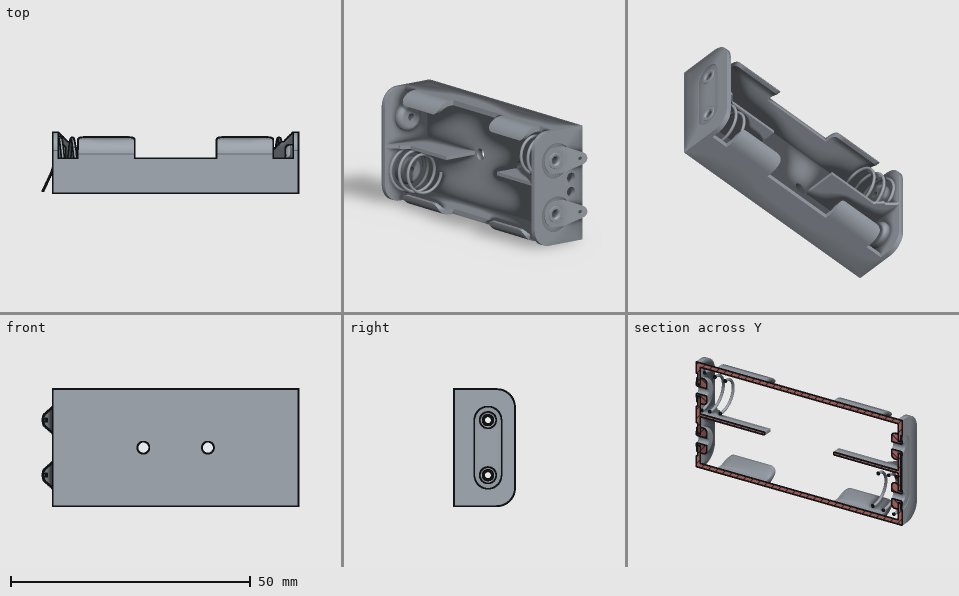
import cadquery as cq
import math


overall_length = 53.45
tray_height = 12.8
tray_width = 24.5
wall = 1.1
floor = 1.5
corner_radius = 3.85

cell_axis_y = 7.1
cell_axis_z = 5.745
cell_zs = (cell_axis_z, -cell_axis_z)

side_wall_height = 7.3
clip_base_height = 8.3
clip_radius = 3.6
clip_inner_radius = 2.9
clip_sweep = math.radians(75)
clip_setback = 5.25
clip_length = 11.9
clip_corner_radius = 1.45

divider_thickness = 0.75
divider_height = 9.2
divider_step_height = 10.8
divider_step_length = 0.5

mount_hole_diameter = 2.45
mount_hole_x = 6.75
lead_hole_diameter = 2.1
lead_hole_y = 3.1
lead_hole_z = 1.525

recess_depth = 0.4
recess_radius = 3.8

sheet = 0.2
plate_radius = 2.85
button_radius = 3.05
button_height = 1.65
button_fillet = 1.0
rivet_hole_radius = 0.8
rivet_flare_radius = 1.1
rivet_flange_radius = 1.7
rivet_flange_height = 0.15
rivet_flange_fillet = 0.1
rivet_shank_radius = 1.35

lug_angle = math.radians(25)
bend_start_y = 6.7
bend_end_y = 4.2
taper_start_y = 5.15
lug_tip_y = 0.455
lug_tip_radius = 1.4
lug_hole_y = 1.8
lug_hole_radius = 0.4

wire_radius = 0.3
coil_radius = 4.5
coil_shrink = 0.25
coil_pitch = 2.595
spring_clearance = 0.05
flat_turns = 0.5
rising_turns = 2.5

bend_radius = (bend_start_y - bend_end_y) / math.sin(lug_angle)
bend_offset = bend_radius * (1 - math.cos(lug_angle))
lug_plane_depth = recess_depth - sheet
lug_overhang = bend_offset + (bend_end_y - lug_tip_y) * math.tan(lug_angle) - lug_plane_depth
tray_length = overall_length - lug_overhang
end_x = tray_length / 2
inner_x = end_x - wall
half_width = tray_width / 2
clip_center_x = end_x - clip_setback - clip_length / 2


def box(x_range, y_range, z_range):
    """Box between pairs of X, Y and Z limits."""
    size = [high - low for low, high in (x_range, y_range, z_range)]
    corner = (x_range[0], y_range[0], z_range[0])
    return cq.Workplane("XY").box(*size, centered=False).translate(corner)


def x_cylinder(radius, x_start, length, y, z):
    """Cylinder along +X from x_start."""
    return cq.Workplane("YZ", origin=(x_start, 0, 0)).center(y, z).circle(radius).extrude(length)


def x_slot(radius, x_start, length):
    """Round-ended block along +X that spans both cell axes."""
    slot = cq.Workplane("YZ", origin=(x_start, 0, 0)).center(cell_axis_y, 0)
    return slot.slot2D(2 * (cell_axis_z + radius), 2 * radius, 90).extrude(length)



def end_wall(x_start):
    plate = box((x_start, x_start + wall), (0, tray_height), (-half_width, half_width))
    return plate.edges("|X and >Y").fillet(corner_radius)


def divider():
    """Thin wall between the cells at the +X end, stepping down from the end wall at 45 degrees."""
    upper_foot_x = inner_x - (tray_height - divider_step_height)
    lower_top_x = upper_foot_x - divider_step_length
    lower_foot_x = lower_top_x - (divider_step_height - divider_height)
    clip_end_x = clip_center_x - clip_length / 2
    profile = cq.Workplane("XY", origin=(0, 0, -divider_thickness / 2)).polyline([
        (inner_x, floor),
        (inner_x, tray_height),
        (upper_foot_x, divider_step_height),
        (lower_top_x, divider_step_height),
        (lower_foot_x, divider_height),
        (clip_end_x, divider_height),
        (clip_end_x, floor),
    ])
    return profile.close().extrude(divider_thickness)


def clip():
    """Snap clip at the +X end of the +Z side wall: an inward curl with rounded tip corners."""
    start_x = clip_center_x - clip_length / 2

    def curl_point(face_z, radius, angle):
        """Point on an arc that leaves the wall face at face_z and curls inwards."""
        y = clip_base_height + radius * math.sin(angle)
        return (y, face_z - radius * (1 - math.cos(angle)))

    def outer_point(angle):
        return curl_point(half_width, clip_radius, angle)

    def inner_point(angle):
        return curl_point(half_width - wall, clip_inner_radius, angle)

    curl = (
        cq.Workplane("YZ", origin=(start_x, 0, 0))
        .moveTo(side_wall_height, half_width)
        .lineTo(clip_base_height, half_width)
        .threePointArc(outer_point(clip_sweep / 2), outer_point(clip_sweep))
        .lineTo(*inner_point(clip_sweep))
        .threePointArc(inner_point(clip_sweep / 2), inner_point(0))
        .lineTo(side_wall_height, half_width - wall)
        .close()
        .extrude(clip_length)
    )
    tip_z = outer_point(clip_sweep)[1]
    rounded = box((start_x, start_x + clip_length), (0, tray_height), (tip_z, half_width))
    return curl.intersect(rounded.edges("|Y and <Z").fillet(clip_corner_radius))


def make_tray():
    tray = box((-end_x, end_x), (0, side_wall_height), (-half_width, half_width))
    inner_half_width = half_width - wall
    cavity = box((-inner_x, inner_x), (floor, tray_height), (-inner_half_width, inner_half_width))
    tray = tray.cut(cavity)
    tray = tray.union(end_wall(-end_x)).union(end_wall(inner_x))

    tray = tray.union(divider()).union(divider().mirror("YZ"))
    clip_pair = clip().union(clip().mirror("XY"))
    tray = tray.union(clip_pair).union(clip_pair.mirror("YZ"))

    for x in (-mount_hole_x, mount_hole_x):
        hole = cq.Workplane("XZ", origin=(x, 0, 0)).circle(mount_hole_diameter / 2)
        tray = tray.cut(hole.extrude(-floor))
    for z in (-lead_hole_z, lead_hole_z):
        tray = tray.cut(x_cylinder(lead_hole_diameter / 2, -end_x, wall, lead_hole_y, z))
    for z in cell_zs:
        tray = tray.cut(x_cylinder(recess_radius, -end_x, recess_depth, cell_axis_y, z))
        tray = tray.cut(x_cylinder(rivet_shank_radius, -end_x, tray_length, cell_axis_y, z))
    return tray.cut(x_slot(plate_radius, end_x - recess_depth, recess_depth))



def rivet(z):
    """Button head inside the -X end wall, shank through it and flange outside."""
    head = x_cylinder(button_radius, -inner_x, button_height, cell_axis_y, z)
    head = head.faces(">X").edges().fillet(button_fillet)
    flange_x = -end_x + lug_plane_depth - rivet_flange_height
    shank = x_cylinder(rivet_shank_radius, flange_x, -inner_x - flange_x, cell_axis_y, z)
    flange = x_cylinder(rivet_flange_radius, flange_x, rivet_flange_height, cell_axis_y, z)
    flange = flange.faces("<X").edges().fillet(rivet_flange_fillet)
    return head.union(shank).union(flange)


def rivet_bore(z):
    """Hole through a rivet at the -X end, flared at its outer mouth."""
    flange_x = -end_x + lug_plane_depth - rivet_flange_height
    flare_depth = rivet_flare_radius - rivet_hole_radius
    profile = cq.Workplane("XY", origin=(0, cell_axis_y, z)).polyline([
        (flange_x, 0),
        (flange_x, rivet_flare_radius),
        (flange_x + flare_depth, rivet_hole_radius),
        (-inner_x + button_height, rivet_hole_radius),
        (-inner_x + button_height, 0),
    ])
    return profile.close().revolve(360, (0, 0, 0), (1, 0, 0))


def lug_outline(z):
    """Lug as seen along X: a round ring end, straight flanks and a taper to a rounded tip."""
    tip_center_y = lug_tip_y + lug_tip_radius
    taper_rise = taper_start_y - tip_center_y
    taper_reach = math.hypot(taper_rise, plate_radius)
    taper_angle = math.acos(lug_tip_radius / taper_reach) - math.atan2(taper_rise, plate_radius)
    taper_end_y = tip_center_y - lug_tip_radius * math.sin(taper_angle)
    taper_end_z = lug_tip_radius * math.cos(taper_angle)
    depth = lug_overhang + recess_depth
    start_x = -end_x - lug_overhang
    ring = x_cylinder(plate_radius, start_x, depth, cell_axis_y, z)
    tail = (
        cq.Workplane("YZ", origin=(start_x, 0, z))
        .moveTo(cell_axis_y, plate_radius)
        .lineTo(taper_start_y, plate_radius)
        .lineTo(taper_end_y, taper_end_z)
        .threePointArc((lug_tip_y, 0), (taper_end_y, -taper_end_z))
        .lineTo(taper_start_y, -plate_radius)
        .lineTo(cell_axis_y, -plate_radius)
        .close()
        .extrude(depth)
    )
    hole = x_cylinder(lug_hole_radius, start_x, depth, lug_hole_y, z)
    return ring.union(tail).cut(hole)


def bent_strip(z):
    """Sheet strip lying in the recess, then bending outwards along its tail."""
    outer_x = -end_x + lug_plane_depth
    center_x = outer_x - bend_radius
    back_radius = bend_radius + sheet

    def bend_point(radius, angle):
        return (center_x + radius * math.cos(angle), bend_start_y - radius * math.sin(angle))

    def tail_end(radius):
        x, y = bend_point(radius, lug_angle)
        return (x - y * math.tan(lug_angle), 0)

    top_y = cell_axis_y + plate_radius
    return (
        cq.Workplane("XY", origin=(0, 0, z - plate_radius))
        .moveTo(outer_x, top_y)
        .lineTo(outer_x, bend_start_y)
        .threePointArc(bend_point(bend_radius, lug_angle / 2), bend_point(bend_radius, lug_angle))
        .lineTo(*tail_end(bend_radius))
        .lineTo(*tail_end(back_radius))
        .lineTo(*bend_point(back_radius, lug_angle))
        .threePointArc(bend_point(back_radius, lug_angle / 2), bend_point(back_radius, 0))
        .lineTo(outer_x + sheet, top_y)
        .close()
        .extrude(2 * plate_radius)
    )


def make_terminal(z):
    """Solder lug with its rivet and button, at the -X end."""
    lug = bent_strip(z).intersect(lug_outline(z))
    return lug.union(rivet(z)).cut(rivet_bore(z))


def make_connector():
    """Plate that joins the two rivets and buttons at the +X end."""
    connector = x_slot(plate_radius, end_x - recess_depth, sheet)
    for z in cell_zs:
        connector = connector.union(rivet(z).mirror("YZ"))
    for z in cell_zs:
        connector = connector.cut(rivet_bore(z).mirror("YZ"))
    return connector



def spring_point(turn):
    """Centre of the wire after a number of turns: a flat base coil, then a narrowing rise."""
    rise = max(0, turn - flat_turns)
    radius = coil_radius - coil_shrink * rise
    angle = 2 * math.pi * (turn - flat_turns)
    return (
        -inner_x + spring_clearance + wire_radius + coil_pitch * rise,
        cell_axis_y + radius * math.cos(angle),
        cell_axis_z + radius * math.sin(angle),
    )


def make_spring():
    """Conical spring around the button at the -X end of the +Z cell."""
    turns = flat_turns + rising_turns
    points_per_turn = 24
    count = round(turns * points_per_turn)
    path = cq.Workplane("XY").spline([spring_point(i / points_per_turn) for i in range(count + 1)])
    start = cq.Plane(origin=spring_point(0), xDir=(1, 0, 0), normal=(0, 0, -1))
    return cq.Workplane(start).circle(wire_radius).sweep(path, isFrenet=False)


tray = make_tray()
terminals = [make_terminal(z) for z in cell_zs]
connector = make_connector()
springs = [make_spring().rotate((0, 0, 0), (0, 1, 0), angle) for angle in (0, 180)]

result = cq.Compound.makeCompound([
    tray.val(),
    *[terminal.val() for terminal in terminals],
    connector.val(),
    *[spring.val() for spring in springs],
])